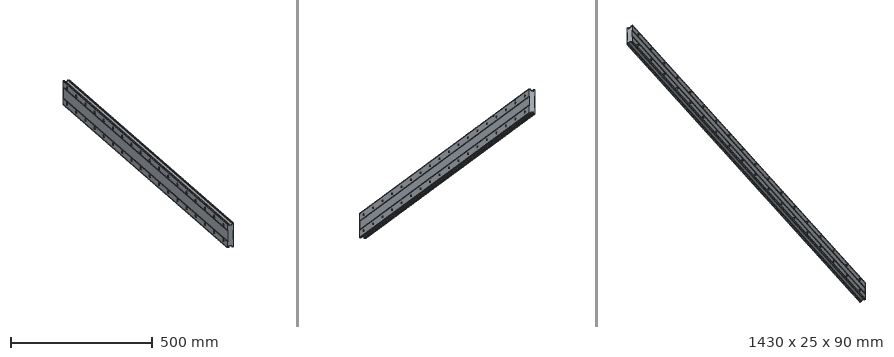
import cadquery as cq
import math

length = 1430.0
thickness = 25.0
height = 90.0

groove_width = 13.0
groove_depth = 5.0

front_recess_height = 41.0
back_recess_height = 33.0
recess_depth = 1.0

hole_count = 18
hole_end_margin = 36.0
hole_pitch = (length - 2 * hole_end_margin) / (hole_count - 1)
hole_row_spacing = 60.0
hole_diameter = 6.0
head_diameter = 9.0
head_depth = 7.0

front = -thickness / 2
back = thickness / 2
top = height / 2


def upper_section():
    """Y-Z outline of the half above mid-height."""
    groove_front = -groove_width / 2
    groove_back = groove_width / 2
    groove_floor = top - groove_depth
    round_start = groove_back - groove_depth
    round_offset = groove_depth * math.sqrt(0.5)
    round_middle = (round_start + round_offset, top - round_offset)
    recess_front = front + recess_depth
    recess_back = back - recess_depth
    return (
        cq.Workplane("YZ")
        .moveTo(recess_front, 0)
        .lineTo(recess_front, front_recess_height / 2)
        .lineTo(front, front_recess_height / 2)
        .lineTo(front, top)
        .lineTo(groove_front, top)
        .lineTo(groove_front, groove_floor)
        .lineTo(round_start, groove_floor)
        .threePointArc(round_middle, (groove_back, top))
        .lineTo(back, top)
        .lineTo(back, back_recess_height / 2)
        .lineTo(recess_back, back_recess_height / 2)
        .lineTo(recess_back, 0)
        .close()
    )


def grooved_plate():
    upper_half = upper_section().extrude(length / 2, both=True)
    return upper_half.union(upper_half.mirror("XY")).clean()


def drill_screw_holes(body):
    front_plane = body.faces("<Y").workplane(origin=(0, front, 0))
    centres = front_plane.rarray(hole_pitch, hole_row_spacing, hole_count, 2)
    return centres.cboreHole(hole_diameter, head_diameter, head_depth)


result = drill_screw_holes(grooved_plate()).solids()